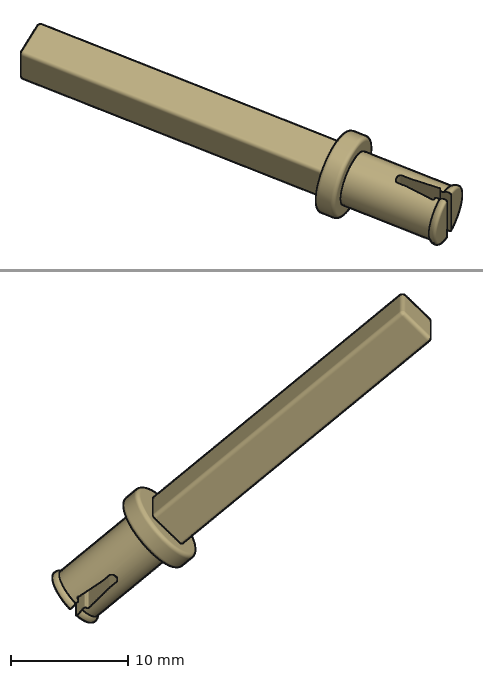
import cadquery as cq
import math

total_length = 40.0
flange_start = 29.0
flange_thickness = 1.88

shank_side = 3.75
edge_radius = 0.35

flange_diameter = 7.5
barrel_diameter = 4.95

lip_diameter = 5.45
lip_width = 0.7
lip_start = total_length - lip_width
lip_end_radius = 0.25

slot_start = 35.0
slot_straight_end = 36.1
slot_start_width = 0.88
slot_wide_width = 1.4
slot_mouth_width = 0.8
slot_mouth_start = 38.87
slot_start_radius = 0.35
slot_shoulder_radius = 0.14


def make_shank():
    """Square bar with rounded long edges and a rounded free end."""
    bar = cq.Workplane("YZ").rect(shank_side, shank_side).extrude(flange_start)
    return bar.edges("|X or <X").fillet(edge_radius)


def make_flange():
    """Round collar with both rims rounded."""
    disc = cq.Workplane("YZ", origin=(flange_start, 0, 0)).circle(flange_diameter / 2)
    return disc.extrude(flange_thickness).edges().fillet(edge_radius)


def make_barrel():
    """Round barrel whose lip swells in an arc to a crest, then rounds over to the end face."""
    barrel_radius = barrel_diameter / 2
    crest_radius = lip_diameter / 2
    crest_x = total_length - lip_end_radius
    run = crest_x - lip_start
    rise = crest_radius - barrel_radius
    swell_radius = (run**2 + rise**2) / (2 * rise)
    swell_mid_x = crest_x - run / 2
    swell_mid_radius = crest_radius - swell_radius + math.sqrt(swell_radius**2 - (run / 2) ** 2)
    return (
        cq.Workplane("XY")
        .moveTo(flange_start, 0)
        .lineTo(flange_start, barrel_radius)
        .lineTo(lip_start, barrel_radius)
        .threePointArc((swell_mid_x, swell_mid_radius), (crest_x, crest_radius))
        .radiusArc((total_length, crest_radius - lip_end_radius), lip_end_radius)
        .lineTo(total_length, 0)
        .close()
        .revolve(360, (0, 0, 0), (1, 0, 0))
    )


def make_slot():
    """Cutter with a straight start, a widening middle and a narrow mouth."""
    half_widths = [
        (slot_start, slot_start_width / 2),
        (slot_straight_end, slot_start_width / 2),
        (slot_mouth_start, slot_wide_width / 2),
        (slot_mouth_start, slot_mouth_width / 2),
        (total_length, slot_mouth_width / 2),
    ]
    mirrored = [(x, -y) for x, y in reversed(half_widths)]
    cutter = cq.Workplane("XY").polyline(half_widths + mirrored).close().extrude(lip_diameter, both=True)
    cutter = cutter.edges("|Z and <X").fillet(slot_start_radius)
    return cutter.faces("|X").faces(">X[-2]").edges("|Z").fillet(slot_shoulder_radius)


result = make_shank().union(make_flange()).union(make_barrel()).cut(make_slot())